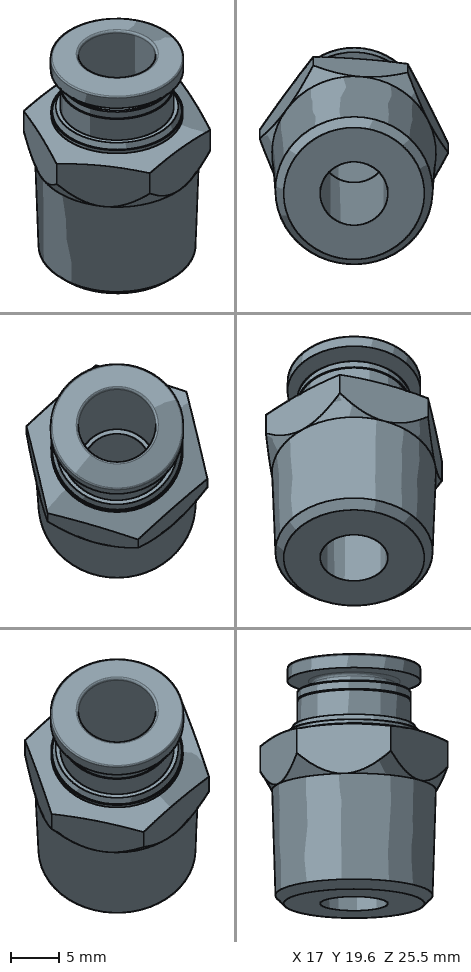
import cadquery as cq
import math

height = 25.5
across_flats = 17.0
corner_radius = across_flats / math.sqrt(3)

shank_top_radius = across_flats / 2
shank_bottom_radius = 8.15
shank_chamfer = 0.87

hex_bottom = 12.0
hex_top = 17.7
hex_top_angle = 15.0
hex_bottom_angle = 60.0

collar_radius = 13.7 / 2
collar_cone_foot_radius = 6.7
collar_top_radius = 6.35
collar_cone_bottom = 18.1
collar_top = 18.72
sleeve_radius = 11.8 / 2
sleeve_top = 22.47
sleeve_chamfer = 0.13
groove_center = 21.47
groove_width = 0.13
groove_depth = groove_width / 2

neck_radius = 8.8 / 2
flare_radius = 9.5 / 2
flare_fillet = flare_radius - neck_radius
rim_radius = 13.8 / 2
rim_bottom = 23.55
rim_edge_top = 24.9
rim_edge_fillet = 0.15
rim_top_radius = 4.25

through_radius = 7.0 / 2
tube_radius = 8.0 / 2
tube_stop = 12.75
mouth_fillet = rim_top_radius - tube_radius


def revolve_outline(points):
    """Revolve a closed (radius, height) outline about the Z axis."""
    return cq.Workplane("XZ").polyline(points).close().revolve(360, (0, 0), (0, 1))


def make_shank():
    return revolve_outline([
        (0, 0),
        (shank_bottom_radius - shank_chamfer, 0),
        (shank_bottom_radius, shank_chamfer),
        (shank_top_radius, hex_bottom),
        (0, hex_bottom),
    ])


def make_hexagon():
    """Hexagon with corners on the Y axis, trimmed by a cone at each end."""
    prism = (
        cq.Workplane("XY", origin=(0, 0, hex_bottom))
        .polygon(6, 2 * corner_radius)
        .extrude(hex_top - hex_bottom)
        .rotate((0, 0, 0), (0, 0, 1), 90)
    )
    top_drop = (corner_radius - collar_radius) * math.tan(math.radians(hex_top_angle))
    bottom_rise = (corner_radius - shank_top_radius) * math.tan(math.radians(hex_bottom_angle))
    envelope = revolve_outline([
        (0, hex_bottom),
        (shank_top_radius, hex_bottom),
        (corner_radius, hex_bottom + bottom_rise),
        (corner_radius, hex_top - top_drop),
        (collar_radius, hex_top),
        (0, hex_top),
    ])
    return prism.intersect(envelope)


def make_collar_and_sleeve():
    groove_radius = sleeve_radius - groove_depth
    groove_bottom = groove_center - groove_width / 2
    groove_top = groove_center + groove_width / 2
    return revolve_outline([
        (0, hex_top),
        (collar_radius, hex_top),
        (collar_radius, collar_cone_bottom),
        (collar_cone_foot_radius, collar_cone_bottom),
        (collar_top_radius, collar_top),
        (sleeve_radius, collar_top),
        (sleeve_radius, groove_bottom),
        (groove_radius, groove_center),
        (sleeve_radius, groove_top),
        (sleeve_radius, sleeve_top - sleeve_chamfer),
        (sleeve_radius - sleeve_chamfer, sleeve_top),
        (0, sleeve_top),
    ])


def make_release_ring():
    flare_inset = flare_fillet * (1 - math.sqrt(0.5))
    rim_inset = rim_edge_fillet * (1 - math.sqrt(0.5))
    rim_cone_bottom = rim_edge_top + rim_edge_fillet
    return (
        cq.Workplane("XZ")
        .moveTo(0, sleeve_top)
        .lineTo(neck_radius, sleeve_top)
        .lineTo(neck_radius, rim_bottom - flare_fillet)
        .threePointArc(
            (neck_radius + flare_inset, rim_bottom - flare_inset),
            (flare_radius, rim_bottom),
        )
        .lineTo(rim_radius, rim_bottom)
        .lineTo(rim_radius, rim_edge_top)
        .threePointArc(
            (rim_radius - rim_inset, rim_cone_bottom - rim_inset),
            (rim_radius - rim_edge_fillet, rim_cone_bottom),
        )
        .lineTo(rim_top_radius, height)
        .lineTo(0, height)
        .close()
        .revolve(360, (0, 0), (0, 1))
    )


def make_bore():
    """Through hole, wider above the tube stop, with a rounded mouth."""
    mouth_inset = mouth_fillet * (1 - math.sqrt(0.5))
    return (
        cq.Workplane("XZ")
        .lineTo(through_radius, 0)
        .lineTo(through_radius, tube_stop)
        .lineTo(tube_radius, tube_stop)
        .lineTo(tube_radius, height - mouth_fillet)
        .threePointArc(
            (tube_radius + mouth_inset, height - mouth_inset),
            (rim_top_radius, height),
        )
        .lineTo(0, height)
        .close()
        .revolve(360, (0, 0), (0, 1))
    )


result = (
    make_shank()
    .union(make_hexagon())
    .union(make_collar_and_sleeve())
    .union(make_release_ring())
    .cut(make_bore())
)